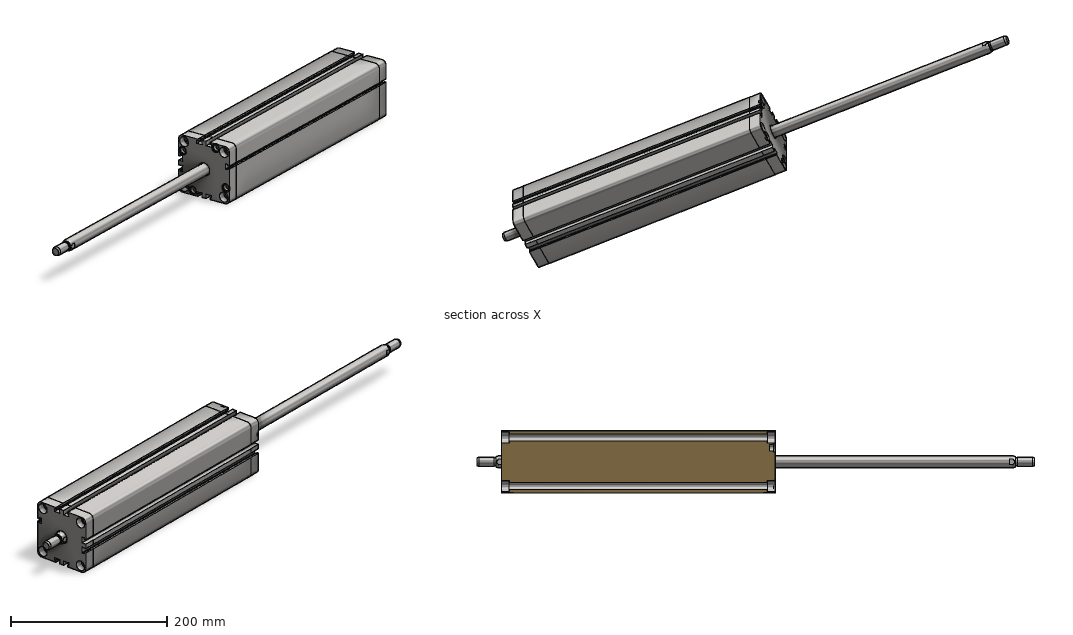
import cadquery as cq

total_length = 713.0
rod_tip_back = total_length / 2
rod_stub_length = 31.5
body_back = rod_tip_back - rod_stub_length
body_length = 350.0
body_front = body_back - body_length
cap_length = 15.0

body_width = 80.0
half_width = body_width / 2
tube_corner_radius = 7.0
cap_corner_radius = 6.8
cap_inset = 0.2

slot_depth = 6.5
lip_thickness = 3.0
pair_rib_width = 6.5
pair_mouth_width = 6.5
pair_mouth_inner = pair_rib_width / 2
pair_mouth_outer = pair_mouth_inner + pair_mouth_width
pair_channel_outer = 11.5
single_slot_center = 12.0
single_mouth_width = 4.0
single_channel_width = 7.0

bolt_spacing = 62.0
bolt_offset = bolt_spacing / 2
bolt_hole_diameter = 8.5
bolt_head_diameter = 13.5
bolt_head_depth = 10.0
screw_offset_along = 18.0
screw_offset_out = 33.5
screw_hole_diameter = 8.5
screw_head_diameter = 11.5
screw_head_depth = 2.0
screw_hole_depth = 7.0

rod_diameter = 16.0
rod_chamfer_length = 3.5
rod_chamfer_depth = 1.1
thread_diameter = 12.0
thread_length = 24.0
thread_chamfer_length = 3.0
thread_chamfer_depth = 1.1
neck_diameter = 11.0
neck_length = 2.0
flat_width = 14.0
flat_length = 8.0
rod_bore_diameter = 18.0
rod_bore_depth = 3.5


def prism(sketch, y_start, y_end):
    """Extrude a section given in X and Z from y_start to a larger y_end."""
    return sketch.extrude(y_start - y_end).translate((0, y_start, 0))


def section():
    """Empty section in the XZ plane, whose normal points toward -Y."""
    return cq.Workplane("XZ")


def slot_box(low, high, bottom, top):
    """Full-length channel in the +Z face, from low to high in X."""
    outline = section().center((low + high) / 2, (bottom + top) / 2).rect(high - low, top - bottom)
    return prism(outline, body_front, body_back)


def t_slot(mouth, channel):
    """Sensor slot in the +Z face; mouth and channel are (low, high) ranges in X."""
    floor = half_width - slot_depth
    lip_bottom = half_width - lip_thickness
    return slot_box(*mouth, floor, half_width).union(slot_box(*channel, floor, lip_bottom))


def around_y(shape, angle):
    """Turn a shape about the Y axis, clockwise as seen from -Y."""
    return shape.rotate((0, 0, 0), (0, 1, 0), angle)


def rounded_bar(width, radius, y_start, y_end):
    """Square bar with rounded corners."""
    bar = prism(section().rect(width, width), y_start, y_end)
    return bar.edges("|Y").fillet(radius)


def sensor_slots():
    """A pair of slots on the top, bottom and -X faces, and a single slot on the +X face."""
    right = t_slot((pair_mouth_inner, pair_mouth_outer), (pair_mouth_inner, pair_channel_outer))
    pair = right.union(right.mirror("YZ"))
    half_mouth = single_mouth_width / 2
    half_channel = single_channel_width / 2
    single = t_slot(
        (-single_slot_center - half_mouth, -single_slot_center + half_mouth),
        (-single_slot_center - half_channel, -single_slot_center + half_channel),
    )
    slots = around_y(single, 90)
    for angle in (0, 180, 270):
        slots = slots.union(around_y(pair, angle))
    return slots


def hole(x, z, diameter, y_start, y_end):
    """Round hole along Y."""
    return prism(section().center(x, z).circle(diameter / 2), y_start, y_end)


def bolt_hole():
    """Through hole in the top right corner, counterbored at both ends."""
    place = (bolt_offset, bolt_offset)
    through = hole(*place, bolt_hole_diameter, body_front, body_back)
    front_head = hole(*place, bolt_head_diameter, body_front, body_front + bolt_head_depth)
    back_head = hole(*place, bolt_head_diameter, body_back - bolt_head_depth, body_back)
    return through.union(front_head).union(back_head)


def screw_hole():
    """Blind counterbored screw hole in the front cap, near the top right corner."""
    place = (screw_offset_along, screw_offset_out)
    shank = hole(*place, screw_hole_diameter, body_front, body_front + screw_hole_depth)
    head = hole(*place, screw_head_diameter, body_front, body_front + screw_head_depth)
    return shank.union(head)


def body():
    """Tube with a slightly smaller end cap at each end."""
    cap_width = body_width - 2 * cap_inset
    tube = rounded_bar(body_width, tube_corner_radius, body_front + cap_length, body_back - cap_length)
    front_cap = rounded_bar(cap_width, cap_corner_radius, body_front, body_front + cap_length)
    back_cap = rounded_bar(cap_width, cap_corner_radius, body_back - cap_length, body_back)
    block = tube.union(front_cap).union(back_cap)
    block = block.cut(sensor_slots())
    for angle in (0, 90, 180, 270):
        block = block.cut(around_y(bolt_hole(), angle))
        block = block.cut(around_y(screw_hole(), angle))
    front_bore = hole(0, 0, rod_bore_diameter, body_front, body_front + rod_bore_depth)
    back_bore = hole(0, 0, rod_bore_diameter, body_back - rod_bore_depth, body_back)
    return block.cut(front_bore).cut(back_bore)


def rod_half():
    """Half of the rod toward +Y, revolved from (radius, y) points, with two wrench flats."""
    rod_radius = rod_diameter / 2
    thread_radius = thread_diameter / 2
    shoulder = rod_tip_back - thread_length
    profile = [
        (0, 0),
        (rod_radius, 0),
        (rod_radius, shoulder - rod_chamfer_length),
        (rod_radius - rod_chamfer_depth, shoulder),
        (neck_diameter / 2, shoulder),
        (neck_diameter / 2, shoulder + neck_length),
        (thread_radius, shoulder + neck_length),
        (thread_radius, rod_tip_back - thread_chamfer_length),
        (thread_radius - thread_chamfer_depth, rod_tip_back),
        (0, rod_tip_back),
    ]
    half = cq.Workplane("XY").polyline(profile).close().revolve(360, (0, 0), (0, 1))
    flat_zone = cq.Workplane("XY").box(rod_diameter, flat_length, rod_diameter)
    flat_zone = flat_zone.cut(cq.Workplane("XY").box(flat_width, flat_length, rod_diameter))
    return half.cut(flat_zone.translate((0, shoulder - flat_length / 2, 0)))


rod = rod_half().union(rod_half().mirror("XZ"))
result = body().union(rod)